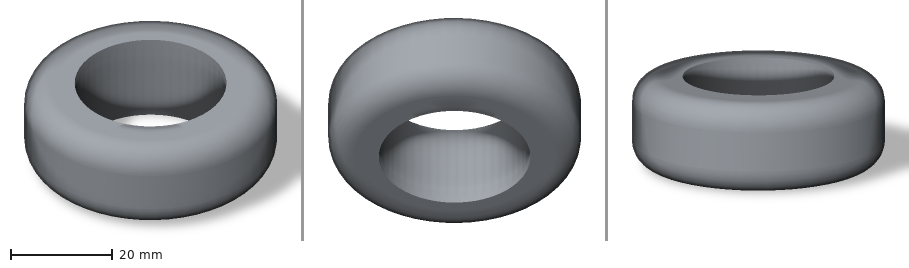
import cadquery as cq

outer_diameter = 50.0
bore_diameter = 30.0
height = 18.0
edge_radius = 5.0

ring = (
    cq.Workplane("XY")
    .circle(outer_diameter / 2)
    .circle(bore_diameter / 2)
    .extrude(height)
)

outer_rims = cq.selectors.RadiusNthSelector(-1)
result = ring.edges("%CIRCLE").edges(outer_rims).fillet(edge_radius)